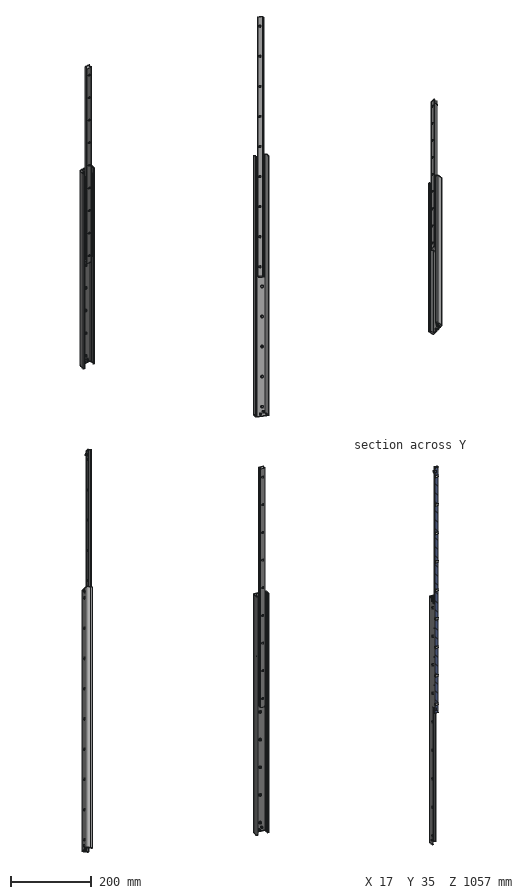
import cadquery as cq
import math


RAIL_WIDTH = 35.0
SLIDE_THICKNESS = 17.0
MEMBER_LENGTH = 690.0
EXTENDED_LENGTH = 1057.0
STROKE = EXTENDED_LENGTH - MEMBER_LENGTH

TRACK_X = 11.5
TRACK_WIDTH = 6.8
TRACK_FLANK_ANGLE = 35.0
TRACK_DEPTH = TRACK_WIDTH / 2 * math.tan(math.radians(TRACK_FLANK_ANGLE))

RAIL_THICKNESS = 16.5
RAIL_WEB = 3.0
LIP_INNER_Y = 12.5
LIP_CORNER_RADIUS = 2.0
BACK_CORNER_RADIUS = 1.2

SLIDER_BACK_X = 7.25
SLIDER_WIDTH = 13.2

HOLE_PITCH = 80.0
HOLE_END_DISTANCE = 25.0
HOLE_COUNT = 9
RAIL_HOLE_DIAMETER = 6.5
SLIDER_HOLE_DIAMETER = 5.0

CAGE_BACK_X = 4.0
CAGE_SHEET = 1.5
CAGE_ARM_Y = 10.75
CAGE_TOP_X = 15.0
CAGE_CLEARANCE = 1.0

RAIL_PIN_DIAMETER = 5.0
RAIL_PIN_TIP_X = 5.0
RAIL_PIN_PLACES = [(3.2, 5.5), (-4.0, 11.0)]
SLIDER_PIN_DIAMETER = 6.0
SLIDER_PIN_TIP_X = 4.4
SLIDER_PIN_DEPTH = 4.0
SLIDER_PIN_PLACES = [(1.8, 11.5)]


def cylinder_along_x(diameter, x_start, x_end, y, z):
    """Cylinder between two X values with its axis at the given Y and Z."""
    start = cq.Vector(x_start, y, z)
    return cq.Workplane(cq.Solid.makeCylinder(diameter / 2, x_end - x_start, start, cq.Vector(1, 0, 0)))


def box_between(x_range, y_range, z_range):
    """Box given by its (low, high) limits along each axis."""
    lows = [limits[0] for limits in (x_range, y_range, z_range)]
    sizes = [limits[1] - limits[0] for limits in (x_range, y_range, z_range)]
    return cq.Workplane("XY").box(*sizes, centered=False).translate(tuple(lows))


def ball_track(face_y, bottom_y, bottom_z):
    """V-shaped bar that cuts a ball track from the face at face_y down to bottom_y."""
    low_x = TRACK_X - TRACK_WIDTH / 2
    high_x = TRACK_X + TRACK_WIDTH / 2
    section = [(low_x, face_y), (TRACK_X, bottom_y), (high_x, face_y)]
    return cq.Workplane("XY", origin=(0, 0, bottom_z)).polyline(section).close().extrude(MEMBER_LENGTH)


def drill_mounting_holes(member, diameter, bottom_z):
    """Row of through holes along the middle of a member."""
    for index in range(HOLE_COUNT):
        z = bottom_z + HOLE_END_DISTANCE + index * HOLE_PITCH
        member = member.cut(cylinder_along_x(diameter, 0, SLIDE_THICKNESS, 0, z))
    return member


def stop_pins(places, diameter, x_start, x_end, bottom_z):
    """Stop pins at both ends of the member that starts at bottom_z."""
    pins = []
    for y, end_distance in places:
        top_z = bottom_z + MEMBER_LENGTH - end_distance
        pins.append(cylinder_along_x(diameter, x_start, x_end, y, top_z))
        pins.append(cylinder_along_x(diameter, x_start, x_end, -y, bottom_z + end_distance))
    return pins


def make_rail(pins):
    """C-shaped rail with rounded lips, ball tracks and holes for its pins."""
    half_width = RAIL_WIDTH / 2
    rail_z = (0, MEMBER_LENGTH)
    body = box_between((0, RAIL_THICKNESS), (-half_width, half_width), rail_z)
    body = body.edges("|Z and >X").fillet(LIP_CORNER_RADIUS)
    body = body.edges("|Z and <X").fillet(BACK_CORNER_RADIUS)
    body = body.cut(box_between((RAIL_WEB, RAIL_THICKNESS), (-LIP_INNER_Y, LIP_INNER_Y), rail_z))
    for side in (-1, 1):
        track_bottom_y = LIP_INNER_Y + TRACK_DEPTH
        body = body.cut(ball_track(side * LIP_INNER_Y, side * track_bottom_y, 0))
    body = drill_mounting_holes(body, RAIL_HOLE_DIAMETER, 0)
    for pin in pins:
        body = body.cut(pin)
    return body


def make_slider(pins):
    """Slider bar with a ball track along each side and seats for its pins."""
    half_width = SLIDER_WIDTH / 2
    slider_z = (STROKE, EXTENDED_LENGTH)
    body = box_between((SLIDER_BACK_X, SLIDE_THICKNESS), (-half_width, half_width), slider_z)
    for side in (-1, 1):
        track_bottom_y = half_width - TRACK_DEPTH
        body = body.cut(ball_track(side * half_width, side * track_bottom_y, STROKE))
    body = drill_mounting_holes(body, SLIDER_HOLE_DIAMETER, STROKE)
    for pin in pins:
        body = body.cut(pin)
    return body


def make_cage():
    """Channel-shaped sheet that reaches from the slider's lower pin to the rail's upper pins."""
    lower_pin_distance = max(place[1] for place in SLIDER_PIN_PLACES)
    upper_pin_distance = max(place[1] for place in RAIL_PIN_PLACES)
    bottom_z = STROKE + lower_pin_distance + SLIDER_PIN_DIAMETER / 2 + CAGE_CLEARANCE
    top_z = MEMBER_LENGTH - upper_pin_distance - RAIL_PIN_DIAMETER / 2 - CAGE_CLEARANCE
    inner_y = CAGE_ARM_Y - CAGE_SHEET
    cage_z = (bottom_z, top_z)
    outside = box_between((CAGE_BACK_X, CAGE_TOP_X), (-CAGE_ARM_Y, CAGE_ARM_Y), cage_z)
    inside = box_between((CAGE_BACK_X + CAGE_SHEET, CAGE_TOP_X), (-inner_y, inner_y), cage_z)
    return outside.cut(inside)


rail_pins = stop_pins(RAIL_PIN_PLACES, RAIL_PIN_DIAMETER, 0, RAIL_PIN_TIP_X, 0)
slider_pins = stop_pins(
    SLIDER_PIN_PLACES,
    SLIDER_PIN_DIAMETER,
    SLIDER_PIN_TIP_X,
    SLIDER_BACK_X + SLIDER_PIN_DEPTH,
    STROKE,
)
rail = make_rail(rail_pins)
slider = make_slider(slider_pins)
cage = make_cage()

pin_solids = [pin.val() for pin in rail_pins + slider_pins]
result = cq.Compound.makeCompound([rail.val(), slider.val(), cage.val(), *pin_solids])